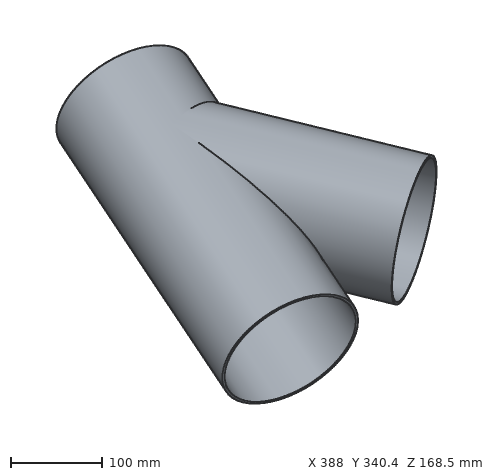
import cadquery as cq

RUN_LENGTH = 388.0
OUTER_DIAMETER = 168.5
INNER_DIAMETER = 162.0
BRANCH_ANGLE = 45.0
INLET_LENGTH = 110.0
BRANCH_LENGTH = RUN_LENGTH - INLET_LENGTH


def run_cylinder(diameter):
    """Solid cylinder along X over the full length of the run."""
    return cq.Workplane("YZ", origin=(-INLET_LENGTH, 0, 0)).circle(diameter / 2).extrude(RUN_LENGTH)


def branch_cylinder(diameter):
    """Solid cylinder from the axis crossing, turned from +X towards +Y."""
    along_x = cq.Workplane("YZ").circle(diameter / 2).extrude(BRANCH_LENGTH)
    return along_x.rotate((0, 0, 0), (0, 0, 1), BRANCH_ANGLE)


outside = run_cylinder(OUTER_DIAMETER).union(branch_cylinder(OUTER_DIAMETER))

result = outside.cut(run_cylinder(INNER_DIAMETER)).cut(branch_cylinder(INNER_DIAMETER))